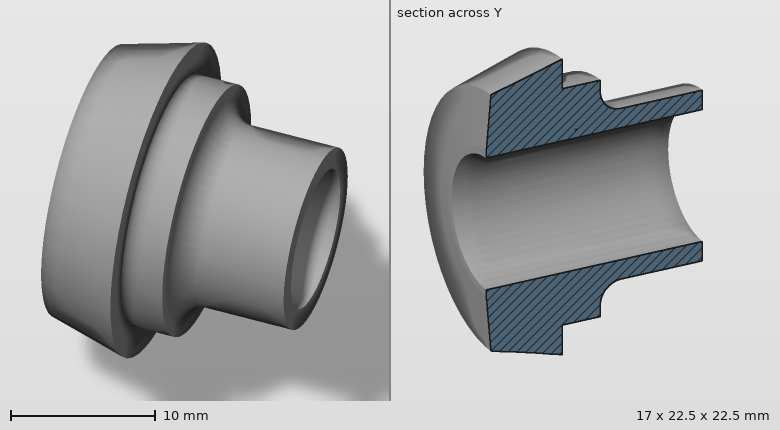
import cadquery as cq
import math

total_length = 17.0
head_length = 6.0
collar_end = 9.0

head_diameter = 22.5
collar_diameter = 18.0
spigot_diameter = 13.0
bore_diameter = 10.0
flat_ring_diameter = 11.0
front_edge_diameter = 19.48

front_face_angle = 5.0
fillet_radius = 1.6

head_radius = head_diameter / 2
collar_radius = collar_diameter / 2
spigot_radius = spigot_diameter / 2
bore_radius = bore_diameter / 2
flat_ring_radius = flat_ring_diameter / 2
front_edge_radius = front_edge_diameter / 2
front_edge_x = (front_edge_radius - flat_ring_radius) * math.tan(math.radians(front_face_angle))

fillet_center_x = collar_end + fillet_radius
fillet_center_radius = spigot_radius + fillet_radius
fillet_mid_offset = fillet_radius * math.sqrt(0.5)
fillet_mid = (fillet_center_x - fillet_mid_offset, fillet_center_radius - fillet_mid_offset)

half_section = (
    cq.Workplane("XY")
    .moveTo(0, bore_radius)
    .lineTo(0, flat_ring_radius)
    .lineTo(front_edge_x, front_edge_radius)
    .lineTo(head_length, head_radius)
    .lineTo(head_length, collar_radius)
    .lineTo(collar_end, collar_radius)
    .lineTo(collar_end, fillet_center_radius)
    .threePointArc(fillet_mid, (fillet_center_x, spigot_radius))
    .lineTo(total_length, spigot_radius)
    .lineTo(total_length, bore_radius)
    .close()
)

result = half_section.revolve(360, (0, 0, 0), (1, 0, 0))